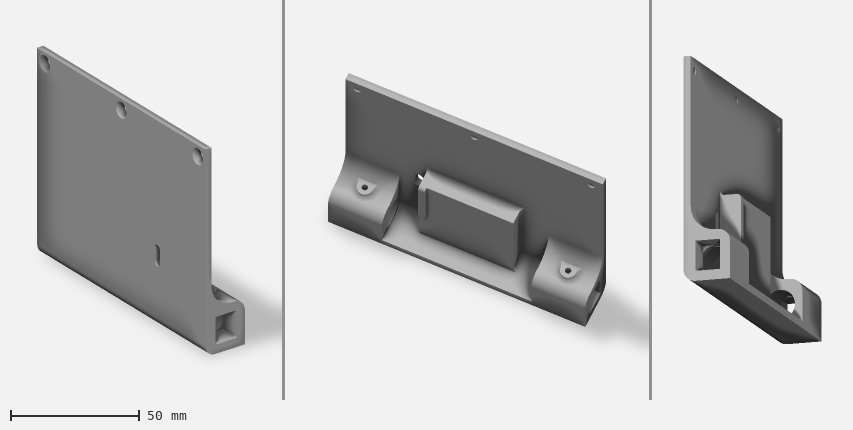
import cadquery as cq
import math

LENGTH = 110.0
HEIGHT = 90.0
PLATE = 3.0

RAIL_DEPTH = 19.0
RAIL_HEIGHT = 20.0
CORNER_RADIUS = 5.0
BLEND_RADIUS = 10.0
POCKET_WIDTH = 10.0
POCKET_HEIGHT = 12.0
POCKET_LENGTH = 9.0
POCKET_ROUND = 0.5
BORE_RADIUS = POCKET_HEIGHT / 2
BORE_Y = 10.0
BORE_Z = 10.0

BAY_LENGTH = 63.8
BAY_FLOOR = PLATE
BAY_RADIUS = CORNER_RADIUS

BLOCK_LENGTH = 40.0
BLOCK_FACE_Y = 10.0
BLOCK_TOP = 42.4
BLOCK_FILLET = 2.0
LIP_LENGTH = 3.0
LIP_DEPTH = 1.5

BOSS_SPACING = 86.9
BOSS_RADIUS = 3.2
BOSS_TOP = 22.0
BOSS_FILLET = 2.0
BOSS_HOLE = 2.5

SCREW_SPACING = 50.0
SCREW_DROP = 5.0
SCREW_HOLE = 3.1
SCREW_HEAD = 7.2
SCREW_ANGLE = 90.0

SLOT_X = 78.5
SLOT_Z = 31.5
SLOT_WIDTH = 3.5
SLOT_HEIGHT = 9.2

MIDDLE = LENGTH / 2
SIN_45 = math.sin(math.pi / 4)
SELECT_MARGIN = 0.01


def box(x_start, x_end, y_start, y_end, z_start, z_end):
    """Block given by its limits along each axis."""
    size = (x_end - x_start, y_end - y_start, z_end - z_start)
    return cq.Workplane("XY").box(*size, centered=False).translate((x_start, y_start, z_start))


def edges_within(low, high):
    """Selector for edges lying wholly between two corners."""
    grow = cq.Vector(SELECT_MARGIN, SELECT_MARGIN, SELECT_MARGIN)
    return cq.selectors.BoxSelector(
        (cq.Vector(low) - grow).toTuple(), (cq.Vector(high) + grow).toTuple(), boundingbox=True
    )


def arc_middle(centre_y, centre_z, radius, side_y, side_z):
    """Halfway point of a quarter arc; the sides give its quadrant."""
    return (centre_y + side_y * radius * SIN_45, centre_z + side_z * radius * SIN_45)


def plate_and_rail():
    """Plate and solid rail as one profile run along X."""
    blend_y = PLATE + BLEND_RADIUS
    blend_z = RAIL_HEIGHT + BLEND_RADIUS
    back_y = RAIL_DEPTH - CORNER_RADIUS
    back_z = RAIL_HEIGHT - CORNER_RADIUS
    return (
        cq.Workplane("YZ")
        .moveTo(CORNER_RADIUS, 0)
        .lineTo(RAIL_DEPTH, 0)
        .lineTo(RAIL_DEPTH, back_z)
        .threePointArc(arc_middle(back_y, back_z, CORNER_RADIUS, 1, 1), (back_y, RAIL_HEIGHT))
        .lineTo(blend_y, RAIL_HEIGHT)
        .threePointArc(arc_middle(blend_y, blend_z, BLEND_RADIUS, -1, -1), (PLATE, blend_z))
        .lineTo(PLATE, HEIGHT)
        .lineTo(0, HEIGHT)
        .lineTo(0, CORNER_RADIUS)
        .threePointArc(arc_middle(CORNER_RADIUS, CORNER_RADIUS, CORNER_RADIUS, -1, -1), (CORNER_RADIUS, 0))
        .close()
        .extrude(LENGTH)
    )


def add_bosses(body):
    """Bosses flared into the rail, flat on top and drilled down into the bore."""
    centres = [(MIDDLE + side * BOSS_SPACING / 2, BORE_Y) for side in (-1, 1)]
    level = cq.Workplane("XY", origin=(0, 0, BORE_Z)).pushPoints(centres)
    pins = level.circle(BOSS_RADIUS).extrude(RAIL_HEIGHT + BLEND_RADIUS - BORE_Z)
    flared = body.union(pins)
    foot_top = RAIL_HEIGHT + BLEND_RADIUS / 2
    for x, y in centres:
        foot = edges_within(
            (x - BOSS_RADIUS, y - BOSS_RADIUS, RAIL_HEIGHT),
            (x + BOSS_RADIUS, y + BOSS_RADIUS, foot_top),
        )
        flared = flared.edges(foot).fillet(BOSS_FILLET)
    bosses = flared.intersect(box(0, LENGTH, 0, RAIL_DEPTH, 0, BOSS_TOP))
    holes = level.circle(BOSS_HOLE / 2).extrude(RAIL_HEIGHT)
    return body.union(bosses).cut(holes)


def bay():
    """Space cleared for the bay, rounded where its floor meets the plate."""
    round_y = PLATE + BAY_RADIUS
    round_z = BAY_FLOOR + BAY_RADIUS
    return (
        cq.Workplane("YZ", origin=(MIDDLE - BAY_LENGTH / 2, 0, 0))
        .moveTo(RAIL_DEPTH, BAY_FLOOR)
        .lineTo(round_y, BAY_FLOOR)
        .threePointArc(arc_middle(round_y, round_z, BAY_RADIUS, -1, -1), (PLATE, round_z))
        .lineTo(PLATE, HEIGHT)
        .lineTo(RAIL_DEPTH, HEIGHT)
        .close()
        .extrude(BAY_LENGTH)
    )


def hollow_rail():
    """Round bore along the rail, opening into a pocket with rounded floor edges at each end."""
    section = cq.Workplane("YZ").center(BORE_Y, BORE_Z)
    pocket = section.rect(POCKET_WIDTH, POCKET_HEIGHT).extrude(POCKET_LENGTH)
    pocket = pocket.edges("|X and <Z").fillet(POCKET_ROUND)
    bore = section.workplane(offset=POCKET_LENGTH).circle(BORE_RADIUS).extrude(LENGTH - 2 * POCKET_LENGTH)
    return bore.union(pocket).union(pocket.translate((LENGTH - POCKET_LENGTH, 0, 0)))


def add_block(body):
    """Block rising from the bay floor, filleted along its left side and top, plus its lip."""
    start = MIDDLE - BLOCK_LENGTH / 2
    end = start + BLOCK_LENGTH
    body = body.union(box(start, end, PLATE / 2, BLOCK_FACE_Y, BAY_FLOOR / 2, BLOCK_TOP))
    left_side = edges_within((start, PLATE, BAY_FLOOR), (start, BLOCK_FACE_Y, BLOCK_TOP))
    free_edge = edges_within((start, BLOCK_FACE_Y, BAY_FLOOR), (start, BLOCK_FACE_Y, BLOCK_TOP))
    top_edge = edges_within((start, PLATE, BLOCK_TOP), (start, BLOCK_FACE_Y, BLOCK_TOP))
    top_foot = edges_within((start, PLATE, BLOCK_TOP), (end, PLATE, BLOCK_TOP))
    body = body.edges(left_side - free_edge - top_edge + top_foot).fillet(BLOCK_FILLET)
    lip = box(end - LIP_LENGTH, end, PLATE, BLOCK_FACE_Y + LIP_DEPTH, RAIL_HEIGHT, BLOCK_TOP)
    return body.union(lip.edges(">Y and >Z").fillet(LIP_DEPTH))


def screw_holes():
    """Cutters for the holes, countersunk on the plate's outer face."""
    centres = [(MIDDLE + step * SCREW_SPACING, HEIGHT - SCREW_DROP) for step in (-1, 0, 1)]
    depth = (SCREW_HEAD - SCREW_HOLE) / 2 / math.tan(math.radians(SCREW_ANGLE / 2))
    half_section = [
        (0, 0),
        (SCREW_HEAD / 2, 0),
        (SCREW_HOLE / 2, depth),
        (SCREW_HOLE / 2, PLATE),
        (0, PLATE),
    ]
    tool = cq.Workplane("XY").polyline(half_section).close().revolve(360, (0, 0, 0), (0, 1, 0))
    return [tool.translate((x, 0, z)) for x, z in centres]


def slot():
    """Upright slot through the plate."""
    face = cq.Workplane("XZ", origin=(SLOT_X, 0, SLOT_Z))
    return face.slot2D(SLOT_HEIGHT, SLOT_WIDTH, 90).extrude(-PLATE)


body = add_bosses(plate_and_rail())
body = body.cut(hollow_rail()).cut(bay())
body = add_block(body)
for hole in screw_holes():
    body = body.cut(hole)
result = body.cut(slot())